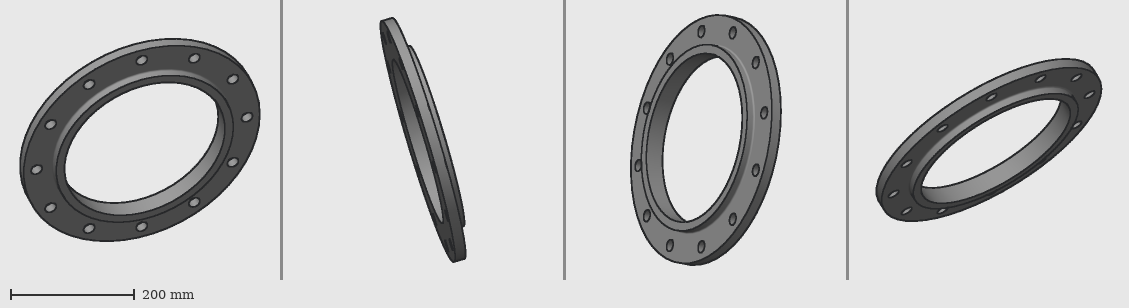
import cadquery as cq

outer_diameter = 406.5
bore_diameter = 276.0
flange_thickness = 18.0
total_thickness = 31.5

hub_diameter = 305.0
hub_root_fillet = 3.0
hub_height = total_thickness - flange_thickness

bolt_circle_diameter = 362.0
bolt_hole_diameter = 19.0
bolt_count = 12

flange = (
    cq.Workplane("YZ", origin=(-total_thickness / 2, 0, 0))
    .circle(outer_diameter / 2)
    .extrude(flange_thickness)
)

body = flange.faces(">X").workplane().circle(hub_diameter / 2).extrude(hub_height)
hub_root = cq.selectors.RadiusNthSelector(0)
body = body.faces(">X[-2]").edges(hub_root).fillet(hub_root_fillet)

body = body.faces("<X").workplane().hole(bore_diameter)

result = (
    body.faces("<X")
    .workplane(origin=(0, 0, 0))
    .polarArray(bolt_circle_diameter / 2, 0, 360, bolt_count)
    .hole(bolt_hole_diameter)
)